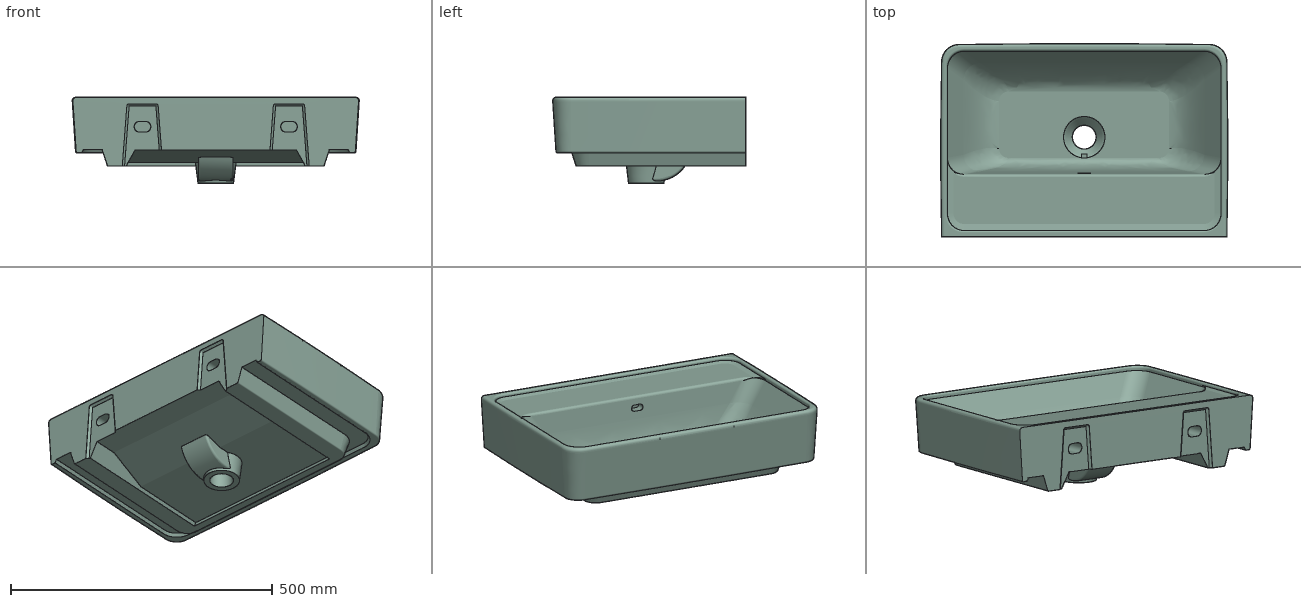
import cadquery as cq
import math

HALF_WIDTH = 274.5
DEPTH = 369.5
BULGE = 1.5
CORNER_RADIUS = 34.0
RIM_BAND = 9.0
BODY_BOTTOM = -106.5
SKIRT_BOTTOM = -132.0
DRAIN_BOTTOM = -165.0
WALL_DRAFT = 3.7
RIM_FILLET = 6.5
BODY_FOOT_FILLET = 3.5
BEHIND_WALL = 55.0

OPENING_HALF_WIDTH = 261.5
OPENING_RADIUS = 32.0
MOUTH_DEPTH = 5.5
MOUTH_FILLET = 4.5
LEDGE_BACK = 12.0
LEDGE_DEPTH = 8.0
LEDGE_SLOPE_RUN = 12.0
NOSE_REACH = 5.0
LEDGE_NOSE = 5.5
BOWL_BACK = 118.5
BOWL_FRONT = 355.0
WALL_END = -52.0
WALL_END_HALF_WIDTH = 230.0
WALL_END_BACK = 124.5
WALL_END_FRONT = 331.5
FLOOR = -111.0
FLOOR_HALF_WIDTH = 162.5
FLOOR_BACK = 150.5
FLOOR_FRONT = 277.5
FLOOR_RADIUS = 18.0
CURVE_RADIUS = 41.0
CURVE_STEPS = 6

SKIRT_TOP_HALF_WIDTH = 217.5
SKIRT_TOP_FRONT = 335.0
SKIRT_RADIUS = 35.5
SKIRT_DRAFT = 18.0
SKIRT_FOOT_FILLET = 3.0
GROOVE_HALF_WIDTH = 256.5
GROOVE_FRONT = 349.0
GROOVE_DEPTH = 6.5
GROOVE_DRAFT = 30.0
NOTCH_TOP = -101.0
NOTCH_TOP_HALF_WIDTH = 154.5
NOTCH_BOTTOM_HALF_WIDTH = 171.5
NOTCH_SLOPE_START = 55.0
NOTCH_SLOPE_END = 148.0
NOTCH_FRONT = 307.5
FLOOR_UNDERSIDE = -125.0

DRAIN_Y = 190.5
BOSS_FOOT_RADIUS = 34.0
BOSS_DRAFT = 7.0
SEAT_RADIUS = 39.5
SEAT_LIP = 4.0
BORE_RADIUS = 22.5
BORE_TOP = -132.0
CUT_MARGIN = 5.5
SCOOP_RADIUS = 65.0
SCOOP_Y = 170.0
SCOOP_BOTTOM = -160.5
SCOOP_HALF_WIDTH = 33.0
SCOOP_FILLET = 4.5

OVERFLOW_WIDTH = 24.0
OVERFLOW_HEIGHT = 12.0
OVERFLOW_Z = -30.0
OVERFLOW_BACK = 104.5
OUTLET_WIDTH = 10.0
OUTLET_BACK = 150.5
OUTLET_DEPTH = 8.0

MOUNT_X = 140.0
MOUNT_TOP = -12.5
MOUNT_TOP_HALF_WIDTH = 29.5
MOUNT_BOTTOM_HALF_WIDTH = 39.5
MOUNT_DEPTH = 5.0
MOUNT_BEVEL = 4.5
MOUNT_OVERRUN = 11.0
MOUNT_CORNER_RADIUS = 5.0
SLOT_Z = -56.5
SLOT_LENGTH = 32.0
SLOT_HEIGHT = 20.5
SLOT_DEPTH = 66.0


def rounded_plan(half_width, front, radius, z, bulge=0.0):
    """Outline with two rounded front corners, running back past the wall face."""
    side = half_width - bulge
    front_end = front - bulge
    inset = radius * (1 - math.sqrt(0.5))
    outline = cq.Workplane("XY", origin=(0, 0, z)).moveTo(side, -BEHIND_WALL).lineTo(side, 0)

    def plan_side(outline, middle, end):
        """Bowed stretch through the middle, or a straight one without a bulge."""
        return outline.threePointArc(middle, end) if bulge else outline.lineTo(*end)

    outline = plan_side(outline, (half_width, front / 2), (side, front_end - radius))
    outline = outline.threePointArc((side - inset, front_end - inset), (side - radius, front_end))
    outline = plan_side(outline, (0, front), (radius - side, front_end))
    outline = outline.threePointArc((inset - side, front_end - inset), (-side, front_end - radius))
    outline = plan_side(outline, (-half_width, front / 2), (-side, 0))
    return outline.lineTo(-side, -BEHIND_WALL).close()


def body():
    band = rounded_plan(HALF_WIDTH, DEPTH, CORNER_RADIUS, -RIM_BAND, BULGE).extrude(RIM_BAND)
    wall = rounded_plan(HALF_WIDTH, DEPTH, CORNER_RADIUS, -RIM_BAND, BULGE).extrude(
        BODY_BOTTOM + RIM_BAND, taper=WALL_DRAFT
    )
    band = band.faces(">Z").edges().fillet(RIM_FILLET)
    wall = wall.faces("<Z").edges().fillet(BODY_FOOT_FILLET)
    return band.union(wall)


def skirt():
    top = BODY_BOTTOM + GROOVE_DEPTH
    block = rounded_plan(SKIRT_TOP_HALF_WIDTH, SKIRT_TOP_FRONT, SKIRT_RADIUS, top).extrude(
        SKIRT_BOTTOM - top, taper=SKIRT_DRAFT
    )
    return block.faces("<Z").edges().fillet(SKIRT_FOOT_FILLET)


def groove():
    return rounded_plan(GROOVE_HALF_WIDTH, GROOVE_FRONT, CORNER_RADIUS, BODY_BOTTOM).extrude(
        GROOVE_DEPTH, taper=GROOVE_DRAFT
    )


def bowl_section(half_width, back, front, radius, z):
    middle = (front + back) / 2
    wire = cq.Workplane("XY", origin=(0, middle, z)).rect(2 * half_width, front - back).val()
    return wire.fillet2D(radius, wire.Vertices())


def quadratic(start, control, end, t):
    return (1 - t) ** 2 * start + 2 * t * (1 - t) * control + t**2 * end


def floor_curve(rim, wall_end, floor, t):
    """Curve that leaves the straight wall smoothly and ends level with the floor."""
    slope = (wall_end - rim) / (WALL_END + LEDGE_DEPTH)
    return quadratic(wall_end, wall_end + slope * (FLOOR - WALL_END), floor, t)


def bowl():
    top = bowl_section(OPENING_HALF_WIDTH, BOWL_BACK, BOWL_FRONT, OPENING_RADIUS, -LEDGE_DEPTH)
    sections = []
    for step in range(CURVE_STEPS + 1):
        t = step / CURVE_STEPS
        half_width = floor_curve(OPENING_HALF_WIDTH, WALL_END_HALF_WIDTH, FLOOR_HALF_WIDTH, t)
        back = floor_curve(BOWL_BACK, WALL_END_BACK, FLOOR_BACK, t)
        front = floor_curve(BOWL_FRONT, WALL_END_FRONT, FLOOR_FRONT, t)
        radius = quadratic(OPENING_RADIUS, CURVE_RADIUS, FLOOR_RADIUS, t)
        z = quadratic(WALL_END, FLOOR, FLOOR, t)
        sections.append(bowl_section(half_width, back, front, radius, z))
    mouth = cq.Workplane(cq.Solid.extrudeLinear(top, [], cq.Vector(0, 0, LEDGE_DEPTH)))
    wall = cq.Workplane(cq.Solid.makeLoft([top, sections[0]], True))
    curve = cq.Workplane(cq.Solid.makeLoft(sections, False))
    return mouth.union(wall).union(curve)


def opening_prism(front, depth):
    return (
        cq.Workplane("XY")
        .center(0, (LEDGE_BACK + front) / 2)
        .rect(2 * OPENING_HALF_WIDTH, front - LEDGE_BACK)
        .extrude(-depth)
        .edges("|Z")
        .fillet(OPENING_RADIUS)
    )


def ledge():
    front = (BOWL_BACK + BOWL_FRONT) / 2
    slope = math.degrees(math.atan(LEDGE_SLOPE_RUN / (LEDGE_DEPTH - MOUTH_DEPTH)))
    return opening_prism(front, MOUTH_DEPTH).faces("<Z").wires().toPending().workplane().extrude(
        LEDGE_DEPTH - MOUTH_DEPTH, taper=slope
    )


def cut_mouth(basin):
    """Shallow opening inside the rim, with its top edge rounded."""
    basin = basin.cut(opening_prism(BOWL_FRONT, MOUTH_DEPTH))
    rim_edges = basin.faces(">Z").val().innerWires()[0].Edges()
    return basin.newObject(rim_edges).fillet(MOUTH_FILLET)


def cut_ledge_and_bowl(basin):
    """Ledge and bowl, with the edge between them rounded to a nose."""
    basin = basin.cut(bowl().union(ledge()))
    nose_zone = cq.selectors.BoxSelector(
        (-OPENING_HALF_WIDTH, BOWL_BACK - NOSE_REACH, -LEDGE_DEPTH - NOSE_REACH),
        (OPENING_HALF_WIDTH, BOWL_BACK + NOSE_REACH, -LEDGE_DEPTH + NOSE_REACH),
    )
    return basin.edges(nose_zone).fillet(LEDGE_NOSE)


def underside_hollow():
    """Recess inside the skirt, open to the wall, its ceiling sloping down under the bowl."""
    across = (
        cq.Workplane("XZ")
        .polyline([
            (-NOTCH_TOP_HALF_WIDTH, NOTCH_TOP),
            (NOTCH_TOP_HALF_WIDTH, NOTCH_TOP),
            (NOTCH_BOTTOM_HALF_WIDTH, SKIRT_BOTTOM),
            (-NOTCH_BOTTOM_HALF_WIDTH, SKIRT_BOTTOM),
        ])
        .close()
        .extrude(-NOTCH_FRONT)
    )
    along = (
        cq.Workplane("YZ")
        .polyline([
            (0, NOTCH_TOP),
            (NOTCH_SLOPE_START, NOTCH_TOP),
            (NOTCH_SLOPE_END, FLOOR_UNDERSIDE),
            (NOTCH_FRONT, FLOOR_UNDERSIDE),
            (NOTCH_FRONT, SKIRT_BOTTOM),
            (0, SKIRT_BOTTOM),
        ])
        .close()
        .extrude(HALF_WIDTH, both=True)
    )
    return across.intersect(along)


def drain_boss():
    return (
        cq.Workplane("XY", origin=(0, DRAIN_Y, DRAIN_BOTTOM))
        .circle(BOSS_FOOT_RADIUS)
        .extrude(FLOOR_UNDERSIDE + CUT_MARGIN - DRAIN_BOTTOM, taper=-BOSS_DRAFT)
    )


def overflow_scoop():
    """Rounded channel housing that runs from the hollow's ceiling into the drain boss."""
    center_z = SCOOP_BOTTOM + SCOOP_RADIUS
    disc = (
        cq.Workplane("YZ", origin=(0, SCOOP_Y, center_z))
        .circle(SCOOP_RADIUS)
        .extrude(SCOOP_HALF_WIDTH, both=True)
        .edges()
        .fillet(SCOOP_FILLET)
    )
    keep = (
        cq.Workplane("XY", origin=(0, 0, SCOOP_BOTTOM))
        .rect(2 * HALF_WIDTH, 2 * DRAIN_Y)
        .extrude(NOTCH_TOP - SCOOP_BOTTOM)
    )
    return disc.intersect(keep)


def drain_hole():
    return (
        cq.Workplane("XZ", origin=(0, DRAIN_Y, 0))
        .polyline([
            (0, FLOOR + CUT_MARGIN),
            (SEAT_RADIUS, FLOOR + CUT_MARGIN),
            (SEAT_RADIUS, FLOOR),
            (SEAT_RADIUS - SEAT_LIP, FLOOR - SEAT_LIP),
            (BORE_RADIUS, BORE_TOP),
            (BORE_RADIUS, DRAIN_BOTTOM - CUT_MARGIN),
            (0, DRAIN_BOTTOM - CUT_MARGIN),
        ])
        .close()
        .revolve(360, (0, 0, 0), (0, 1, 0))
    )


def overflow_opening():
    """Slot through the bowl's back wall, under the nose."""
    length = FLOOR_BACK - OVERFLOW_BACK
    return (
        cq.Workplane("XZ", origin=(0, OVERFLOW_BACK, OVERFLOW_Z))
        .slot2D(OVERFLOW_WIDTH, OVERFLOW_HEIGHT)
        .extrude(-length)
    )


def overflow_outlet():
    """Notch in the drain seat where the overflow empties."""
    length = DRAIN_Y - OUTLET_BACK
    return (
        cq.Workplane("XY", origin=(0, OUTLET_BACK + length / 2, FLOOR))
        .rect(OUTLET_WIDTH, length)
        .extrude(-OUTLET_DEPTH)
    )


def mount(x):
    recess = (
        cq.Workplane("XZ")
        .polyline([
            (x - MOUNT_TOP_HALF_WIDTH, MOUNT_TOP),
            (x + MOUNT_TOP_HALF_WIDTH, MOUNT_TOP),
            (x + MOUNT_BOTTOM_HALF_WIDTH, SKIRT_BOTTOM - MOUNT_OVERRUN),
            (x - MOUNT_BOTTOM_HALF_WIDTH, SKIRT_BOTTOM - MOUNT_OVERRUN),
        ])
        .close()
        .extrude(-MOUNT_DEPTH)
        .edges("|Y")
        .fillet(MOUNT_CORNER_RADIUS)
        .faces(">Y")
        .edges()
        .chamfer(MOUNT_BEVEL)
    )
    slot = cq.Workplane("XZ").center(x, SLOT_Z).slot2D(SLOT_LENGTH, SLOT_HEIGHT).extrude(-SLOT_DEPTH)
    return recess.union(slot)


def behind_wall():
    block = cq.Workplane("XY").box(4 * HALF_WIDTH, 2 * BEHIND_WALL, 4 * HALF_WIDTH)
    return block.translate((0, -BEHIND_WALL, 0))


result = body().cut(groove()).union(skirt()).cut(behind_wall())
result = result.cut(underside_hollow()).union(drain_boss()).union(overflow_scoop())
result = cut_ledge_and_bowl(cut_mouth(result))
result = result.cut(drain_hole()).cut(overflow_opening()).cut(overflow_outlet())
for side in (-1, 1):
    result = result.cut(mount(side * MOUNT_X))